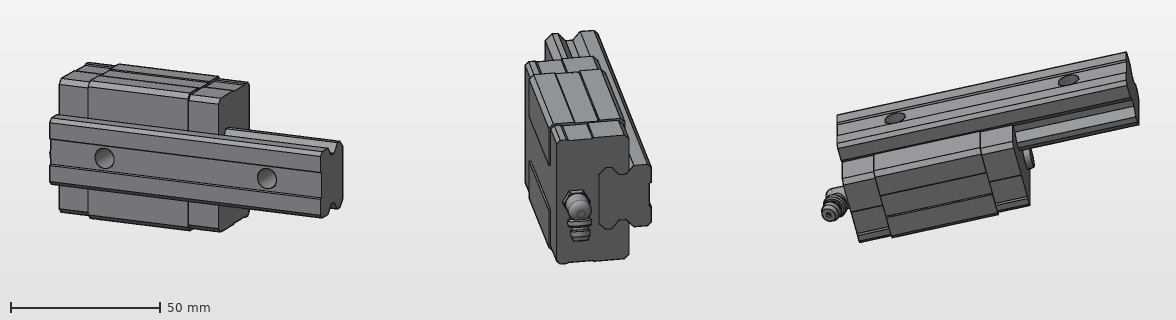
import cadquery as cq
import math


rail_length = 100.0
rail_height = 18.0
rail_half_width = 11.6
rail_top_half_width = 9.3
rail_waist_half_width = 8.6
rail_base_chamfer = 1.3
foot_top = 6.0
waist_bottom = 8.6
waist_top = 11.0
head_bottom = 13.6
base_slot_half_width = 4.3
base_slot_flare = 0.3
base_slot_depth = 0.7

hole_diameter = 7.0
first_hole_x = 20.0
hole_pitch = 60.0
hole_count = 2

carriage_length = 58.9
cap_length = 11.0
block_length = carriage_length - 2 * cap_length
block_top = 33.0
block_bottom = 6.9
block_half_width = 48.0 / 2
cap_inset = 0.7
cap_top = block_top - cap_inset
cap_bottom = block_bottom + cap_inset
cap_half_width = block_half_width - cap_inset
lower_chamfer = 1.7
block_upper_chamfer = 1.6
cap_upper_chamfer = 1.2
top_channel_half_width = 8.5
side_recess_depth = 0.3
side_recess_slope = 0.3
block_recess_top = block_top - 8.7
block_recess_bottom = block_top - 17.3
cap_recess_top = cap_top - 3.3
cap_recess_bottom = cap_top - 12.6
cap_recess_slope = 0.7

nipple_y = 25.7
hex_flats = 8.0
hex_length = 2.0
hex_chamfer = 0.5
elbow_diameter = 7.8
elbow_reach = 9.7
elbow_round = 2.6
spout_x = -4.9
spout_tilt = 22.7
arm_radius = 6.6 / 2
collar_radius = 8.0 / 2
collar_lower_radius = 3.5
neck_radius = 5.5 / 2
bulb_radius = 6.6 / 2
bulb_shoulder_radius = 3.1
tip_radius = 4.9 / 2
collar_start = 3.7
collar_rim_start = 4.3
collar_rim_end = 5.8
collar_end = 6.4
bulb_start = 7.4
bulb_rim_start = 7.8
bulb_shoulder = 9.6
spout_length = 11.0
port_diameter = 1.7
port_depth = 1.1
plug_base_radius = 8.0 / 2
plug_end_radius = 7.0 / 2
plug_length = 2.2


def extrude_outline(half_outline, start_x, length):
    """Extrude along X an outline given by its (y, z) points on the +Z half."""
    mirrored = [(y, -z) for y, z in reversed(half_outline)]
    sketch = cq.Workplane("YZ", origin=(start_x, 0, 0)).polyline(half_outline + mirrored)
    return sketch.close().extrude(length)


def rail_envelope(length):
    """Rail outline without base slot or holes."""
    base_half_width = rail_half_width - rail_base_chamfer
    head_top = rail_height - (rail_half_width - rail_top_half_width)
    half_outline = [
        (0, base_half_width),
        (rail_base_chamfer, rail_half_width),
        (foot_top, rail_half_width),
        (waist_bottom, rail_waist_half_width),
        (waist_top, rail_waist_half_width),
        (head_bottom, rail_half_width),
        (head_top, rail_half_width),
        (rail_height, rail_top_half_width),
    ]
    return extrude_outline(half_outline, 0, length)


def make_rail():
    body = rail_envelope(rail_length)
    slot_outline = [
        (0, base_slot_half_width + base_slot_flare),
        (base_slot_depth, base_slot_half_width),
    ]
    slot = extrude_outline(slot_outline, 0, rail_length)
    body = body.cut(slot)
    for index in range(hole_count):
        hole_x = first_hole_x + index * hole_pitch
        hole = cq.Workplane("XZ", origin=(hole_x, 0, 0)).circle(hole_diameter / 2).extrude(-rail_height)
        body = body.cut(hole)
    return body


def carriage_block():
    """Central block with shallow side recesses and a channel along its top."""
    recess_half_width = block_half_width - side_recess_depth
    half_outline = [
        (block_bottom, block_half_width - lower_chamfer),
        (block_bottom + lower_chamfer, block_half_width),
        (block_recess_bottom, block_half_width),
        (block_recess_bottom + side_recess_slope, recess_half_width),
        (block_recess_top - side_recess_slope, recess_half_width),
        (block_recess_top, block_half_width),
        (block_top - block_upper_chamfer, block_half_width),
        (block_top, block_half_width - block_upper_chamfer),
        (block_top, top_channel_half_width),
        (cap_top, top_channel_half_width),
    ]
    return extrude_outline(half_outline, cap_length, block_length)


def end_cap(start_x):
    recess_half_width = cap_half_width - side_recess_depth
    half_outline = [
        (cap_bottom, cap_half_width - lower_chamfer),
        (cap_bottom + lower_chamfer, cap_half_width),
        (cap_recess_bottom, cap_half_width),
        (cap_recess_bottom + side_recess_slope, recess_half_width),
        (cap_recess_top - cap_recess_slope, recess_half_width),
        (cap_recess_top, cap_half_width),
        (cap_top - cap_upper_chamfer, cap_half_width),
        (cap_top, cap_half_width - cap_upper_chamfer),
    ]
    return extrude_outline(half_outline, start_x, cap_length)


def nipple_spout():
    """Turned spout whose axis leaves the elbow downwards, tilted towards -X."""
    tilt = math.radians(spout_tilt)
    spout_plane = cq.Plane(
        origin=(spout_x, nipple_y, 0),
        xDir=(math.cos(tilt), 0, -math.sin(tilt)),
        normal=(0, 1, 0),
    )
    profile = [
        (0, 0),
        (arm_radius, 0),
        (arm_radius, collar_start),
        (collar_radius, collar_rim_start),
        (collar_radius, collar_rim_end),
        (collar_lower_radius, collar_end),
        (neck_radius, collar_end),
        (neck_radius, bulb_start),
        (bulb_radius, bulb_rim_start),
        (bulb_shoulder_radius, bulb_shoulder),
        (tip_radius, spout_length),
        (port_diameter / 2, spout_length),
        (port_diameter / 2, spout_length - port_depth),
        (0, spout_length - port_depth),
    ]
    return cq.Workplane(spout_plane).polyline(profile).close().revolve(360, (0, 0), (0, 1))


def grease_nipple():
    front_face = cq.Workplane("YZ", origin=(0, nipple_y, 0))
    hex_corners = hex_flats / math.cos(math.radians(30))
    hexagon = front_face.polygon(6, hex_corners).extrude(-hex_length)
    corner_trim = front_face.circle(hex_corners / 2).extrude(-hex_length)
    corner_trim = corner_trim.faces("<X").edges().chamfer(hex_chamfer)
    hexagon = hexagon.intersect(corner_trim)
    elbow = front_face.circle(elbow_diameter / 2).extrude(-elbow_reach)
    elbow = elbow.faces("<X").edges().fillet(elbow_round)
    return hexagon.union(elbow).union(nipple_spout())


def end_plug():
    """Turned plug whose side curves inwards, leaving the carriage parallel to X."""
    side_drop = plug_base_radius - plug_end_radius
    side_arc_radius = (plug_length**2 + side_drop**2) / (2 * side_drop)
    profile = (
        cq.Workplane("XY", origin=(carriage_length, nipple_y, 0))
        .lineTo(0, plug_base_radius)
        .radiusArc((plug_length, plug_end_radius), side_arc_radius)
        .lineTo(plug_length, 0)
        .close()
    )
    return profile.revolve(360, (0, 0), (1, 0))


def make_carriage():
    body = carriage_block()
    for start_x in (0, carriage_length - cap_length):
        body = body.union(end_cap(start_x))
    body = body.cut(rail_envelope(carriage_length))
    return body.union(grease_nipple()).union(end_plug())


rail = make_rail()
carriage = make_carriage()
result = cq.Compound.makeCompound([rail.solids().val(), carriage.solids().val()])